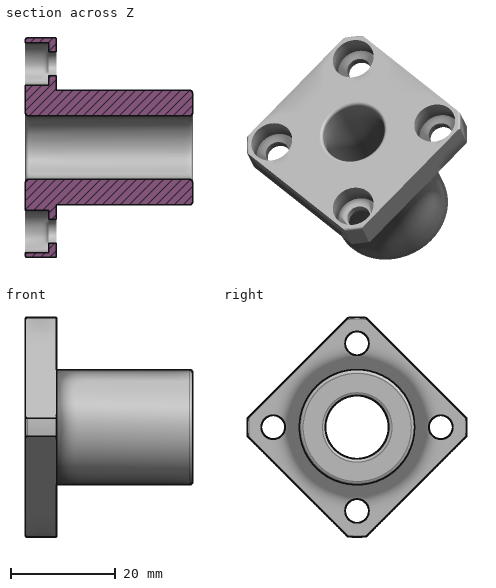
import cadquery as cq

total_length = 32.0
flange_diameter = 42.0
flange_side = 32.0
flange_thickness = 6.0
flange_front_round = 0.4
flange_back_round = 0.3

barrel_diameter = 22.0
barrel_end_round = 0.67

bore_diameter = 12.0
bore_mouth_round = 0.65

screw_hole_count = 4
screw_circle_radius = 16.0
screw_hole_diameter = 4.5
counterbore_diameter = 8.0
counterbore_depth = 4.4


def cylinder(diameter, length):
    """Cylinder along +X, starting at the flange face."""
    return cq.Workplane("YZ").circle(diameter / 2).extrude(length)


def make_flange():
    """Round-edged disc trimmed to a square standing on its corner."""
    disc = cylinder(flange_diameter, flange_thickness)
    disc = disc.faces("<X").edges().fillet(flange_front_round)
    disc = disc.faces(">X").edges().fillet(flange_back_round)
    square = (
        cq.Workplane("YZ")
        .rect(flange_side, flange_side)
        .extrude(flange_thickness)
        .rotate((0, 0, 0), (1, 0, 0), 45)
    )
    return disc.intersect(square)


def make_barrel():
    """Plain sleeve with a rounded outer edge at its free end."""
    return cylinder(barrel_diameter, total_length).faces(">X").edges().fillet(barrel_end_round)


def cut_bore(body):
    """Through bore with both mouths rounded."""
    body = body.cut(cylinder(bore_diameter, total_length))
    bore_edges = cq.selectors.RadiusNthSelector(0)
    return body.faces("<X or >X").edges("%CIRCLE").edges(bore_edges).fillet(bore_mouth_round)


def cut_screw_holes(body):
    """Through holes counterbored from the flange face."""
    hole = cylinder(screw_hole_diameter, flange_thickness)
    hole = hole.union(cylinder(counterbore_diameter, counterbore_depth))
    hole = hole.translate((0, screw_circle_radius, 0))
    for index in range(screw_hole_count):
        angle = index * 360 / screw_hole_count
        body = body.cut(hole.rotate((0, 0, 0), (1, 0, 0), angle))
    return body


body = make_flange().union(make_barrel())
body = cut_bore(body)
result = cut_screw_holes(body)